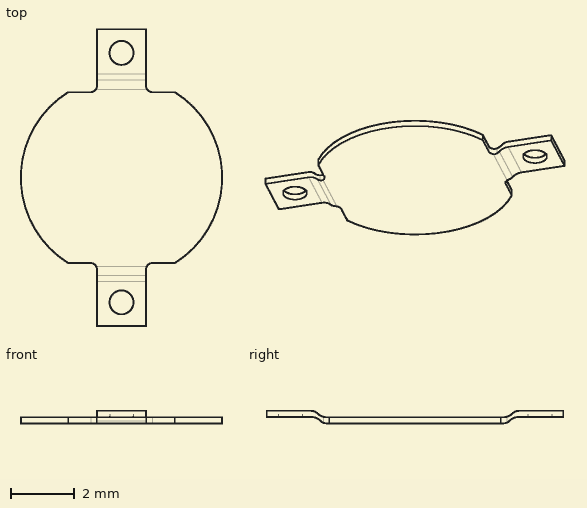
import cadquery as cq
import math

length = 9.35
disc_diameter = 6.35
height = 0.4
thickness = height / 2
flat_offset = 2.69
tab_width = 1.55
corner_radius = 0.2
bend_start = 2.79
bend_end = 3.26
concave_radius = 0.4
hole_diameter = 0.75
hole_offset = 3.93

tip = length / 2
rise = height - thickness
run = bend_end - bend_start
convex_radius = (run**2 + rise**2) / (2 * rise) - concave_radius
bend_angle = math.asin(run / (concave_radius + convex_radius))


def lower_bend(base_z, radius, angle):
    """Point (Y, Z) on the arc that curves up from the disc."""
    return bend_start + radius * math.sin(angle), base_z + radius * (1 - math.cos(angle))


def upper_bend(level_z, radius, angle):
    """Point (Y, Z) on the arc that levels out into the tab."""
    return bend_end - radius * math.sin(angle), level_z - radius * (1 - math.cos(angle))


def make_half_strip():
    """Bent sheet from the centre to the +Y tip, as wide as the disc."""
    half_angle = bend_angle / 2
    tab_bottom = height - thickness
    return (
        cq.Workplane("YZ")
        .moveTo(0, 0)
        .lineTo(bend_start, 0)
        .threePointArc(lower_bend(0, convex_radius, half_angle), lower_bend(0, convex_radius, bend_angle))
        .threePointArc(upper_bend(tab_bottom, concave_radius, half_angle), (bend_end, tab_bottom))
        .lineTo(tip, tab_bottom)
        .lineTo(tip, height)
        .lineTo(bend_end, height)
        .threePointArc(
            upper_bend(height, convex_radius, half_angle),
            upper_bend(height, convex_radius, bend_angle),
        )
        .threePointArc(lower_bend(thickness, concave_radius, half_angle), (bend_start, thickness))
        .lineTo(0, thickness)
        .close()
        .extrude(disc_diameter / 2, both=True)
    )


def make_outline():
    """Plan shape: truncated disc, two tabs with rounded roots, two holes."""
    disc = cq.Workplane("XY").circle(disc_diameter / 2).extrude(height)
    band = cq.Workplane("XY").rect(disc_diameter, 2 * flat_offset).extrude(height)
    tabs = cq.Workplane("XY").rect(tab_width, length).extrude(height)
    outline = disc.intersect(band).union(tabs)

    root_reach = tab_width / 2 + corner_radius
    root_corners = cq.selectors.BoxSelector(
        (-root_reach, -flat_offset - corner_radius, 0),
        (root_reach, flat_offset + corner_radius, height),
    )
    outline = outline.edges("|Z").edges(root_corners).fillet(corner_radius)

    holes = (
        cq.Workplane("XY")
        .pushPoints([(0, -hole_offset), (0, hole_offset)])
        .circle(hole_diameter / 2)
        .extrude(height)
    )
    return outline.cut(holes)


half_strip = make_half_strip()
strip = half_strip.union(half_strip.mirror("XZ"))
result = strip.intersect(make_outline())